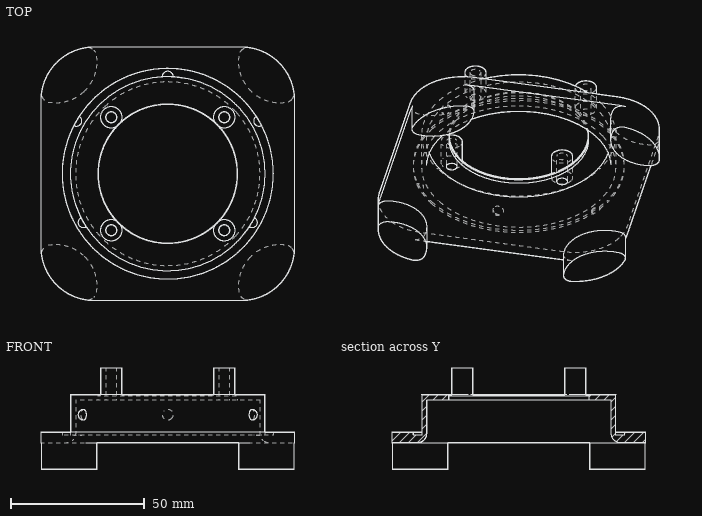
import cadquery as cq
import math

plate_side = 95.0
corner_radius = 20.0
plate_thickness = 4.0
foot_height = 10.0
plate_top = foot_height + plate_thickness

foot_disc_radius = 15.5
foot_disc_inset = 5.5
foot_tip_radius = 3.5
quarter_turns = (90, 180, 270)

recess_diameter = 79.0
recess_depth = 1.0
recess_floor = plate_top - recess_depth
pocket_diameter = 4.0
pocket_depth = 0.3
pocket_angles = (30, 150)

collar_diameter = 72.8
collar_bore_diameter = 69.0
collar_top = 28.0
lid_thickness = 2.0
lid_hole_diameter = 52.0
lid_relief_diameter = 52.4
lid_lip_thickness = 0.4

bore_rim_radius = 3.5

ball_diameter = 4.0
ball_height = 20.5
ball_angles = (90, 210, 330)

post_diameter = 8.0
post_hole_diameter = 4.0
post_height = 10.0
post_circle_diameter = 59.8
post_angles = (45, 135, 225, 315)


def disc(diameter, bottom, top):
    """Upright cylinder on the Z axis between two heights."""
    return cq.Workplane("XY").workplane(offset=bottom).circle(diameter / 2).extrude(top - bottom)


def bore(top):
    """Collar bore flaring out along a quarter round at the plate underside."""
    radius = collar_bore_diameter / 2
    rim_top = foot_height + bore_rim_radius
    rim_end = (radius + bore_rim_radius, foot_height)
    return (
        cq.Workplane("XZ")
        .moveTo(0, foot_height)
        .lineTo(*rim_end)
        .radiusArc((radius, rim_top), bore_rim_radius)
        .lineTo(radius, top)
        .lineTo(0, top)
        .close()
        .revolve(360, (0, 0), (0, 1))
    )


def polar(radius, angle):
    """XY position at a radius and an angle in degrees."""
    return (radius * math.cos(math.radians(angle)), radius * math.sin(math.radians(angle)))


def make_plate():
    """Square plate with rounded corners."""
    outline = cq.Workplane("XY", origin=(0, 0, foot_height)).rect(plate_side, plate_side)
    return outline.extrude(plate_thickness).edges("|Z").fillet(corner_radius)


def make_feet():
    """Four rounded lens-shaped feet, one under each plate corner."""
    disc_offset = plate_side / 2 - foot_disc_inset
    arc_offset = plate_side / 2 - corner_radius
    corner_cylinder = disc(2 * corner_radius, 0, foot_height).translate((arc_offset, arc_offset, 0))
    foot_disc = disc(2 * foot_disc_radius, 0, foot_height).translate((disc_offset, disc_offset, 0))
    foot = corner_cylinder.intersect(foot_disc).edges("|Z").fillet(foot_tip_radius)
    feet = foot
    for turn in quarter_turns:
        feet = feet.union(foot.rotate((0, 0, 0), (0, 0, 1), turn))
    return feet


def make_base():
    """Plate and feet with the recess and its two pockets."""
    base = make_plate().union(make_feet())
    recess = disc(recess_diameter, recess_floor, plate_top)
    pockets = (
        cq.Workplane("XY")
        .workplane(offset=recess_floor - pocket_depth)
        .pushPoints([polar(recess_diameter / 2, angle) for angle in pocket_angles])
        .circle(pocket_diameter / 2)
        .extrude(pocket_depth)
        .intersect(disc(recess_diameter, recess_floor - pocket_depth, plate_top))
    )
    return base.cut(recess).cut(pockets)


def add_collar(body):
    """Collar with locating balls, hollowed out under a holed lid."""
    body = body.union(disc(collar_diameter, recess_floor, collar_top))
    for angle in ball_angles:
        x, y = polar(collar_diameter / 2, angle)
        body = body.union(cq.Workplane("XY").sphere(ball_diameter / 2).translate((x, y, ball_height)))
    lid_bottom = collar_top - lid_thickness
    body = body.cut(bore(lid_bottom))
    body = body.cut(disc(lid_relief_diameter, lid_bottom, collar_top - lid_lip_thickness))
    return body.cut(disc(lid_hole_diameter, lid_bottom, collar_top))


def add_posts(body):
    """Tubular posts, trimmed flush with the lid hole, whose holes run on through the lid."""
    centers = [polar(post_circle_diameter / 2, angle) for angle in post_angles]
    top = cq.Workplane("XY", origin=(0, 0, collar_top)).pushPoints(centers)
    posts = top.circle(post_diameter / 2).extrude(post_height)
    holes = top.circle(post_hole_diameter / 2).extrude(post_height)
    lid_holes = top.circle(post_hole_diameter / 2).extrude(-lid_thickness)
    lid_hole_clearance = disc(lid_hole_diameter, collar_top, collar_top + post_height)
    return body.union(posts.cut(lid_hole_clearance)).cut(holes).cut(lid_holes)


result = add_posts(add_collar(make_base()))